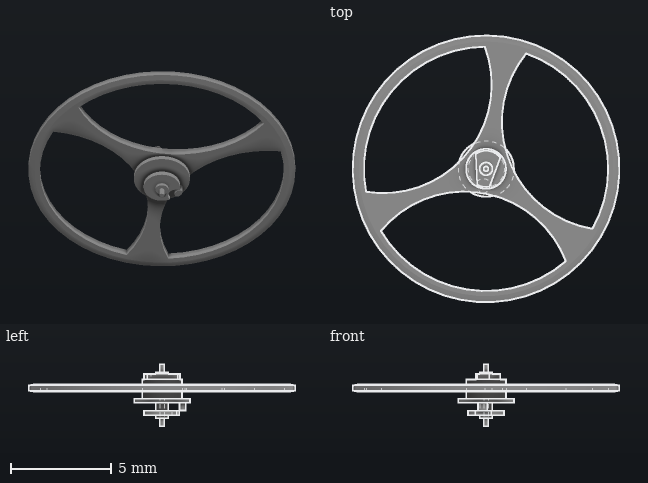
import cadquery as cq
import math

TURN = -9.3
STAFF_HALF_LENGTH = 1.553
PIVOT_LENGTH = 0.4
PIVOT_RADIUS = 0.12
COLLAR_RADIUS = 0.32
HUB_RADIUS = 1.0

COLLAR_TOP = STAFF_HALF_LENGTH - PIVOT_LENGTH
COLLAR_HEIGHT = 0.08
WEDGE_TOP = COLLAR_TOP - COLLAR_HEIGHT
HUB_TOP = 0.79
WHEEL_TOP = 0.55
WHEEL_THICKNESS = 0.37
HUB_BOTTOM = -0.17
TABLE_THICKNESS = 0.21
TABLE_BOTTOM = HUB_BOTTOM - TABLE_THICKNESS
SAFETY_TOP = -0.77
SAFETY_BOTTOM = -1.0
ROLLER_BOTTOM = -COLLAR_TOP

RIM_RADIUS = 6.66
RIM_INNER_RADIUS = 6.09
CHAMFER_WIDTH = 0.3
CHAMFER_HEIGHT = 0.05
WINDOW_COUNT = 3
WINDOW_ARC_RADIUS = 5.41
WINDOW_ARC_OFFSET = 6.64

WEDGE_RADIUS = 0.9
WEDGE_CORNER_ANGLES = (38, 124.5, 241, 281)

TABLE_RADIUS = 1.4
SAFETY_RADIUS = 0.9
NOTCH_RADIUS = 0.41
JEWEL_OFFSET = 1.04
JEWEL_HALF_WIDTH = 0.24
JEWEL_HALF_DEPTH = 0.16


def disc(radius, bottom, top):
    """Cylinder about the staff axis."""
    return cq.Workplane("XY").workplane(offset=bottom).circle(radius).extrude(top - bottom)


def turned(body):
    """Turn a body to the angle of the balance."""
    return body.rotate((0, 0, 0), (0, 0, 1), TURN)


def make_wheel():
    """Rim chamfered on both outer edges, with three arms left between round-sided windows."""
    bottom = WHEEL_TOP - WHEEL_THICKNESS
    rim_face = RIM_RADIUS - CHAMFER_WIDTH
    profile = [
        (HUB_RADIUS, bottom),
        (rim_face, bottom),
        (RIM_RADIUS, bottom + CHAMFER_HEIGHT),
        (RIM_RADIUS, WHEEL_TOP - CHAMFER_HEIGHT),
        (rim_face, WHEEL_TOP),
        (HUB_RADIUS, WHEEL_TOP),
    ]
    wheel = cq.Workplane("XZ").polyline(profile).close().revolve(360, (0, 0), (0, 1))
    window = disc(WINDOW_ARC_RADIUS, bottom, WHEEL_TOP).translate((0, -WINDOW_ARC_OFFSET, 0))
    window = window.intersect(disc(RIM_INNER_RADIUS, bottom, WHEEL_TOP))
    for i in range(WINDOW_COUNT):
        wheel = wheel.cut(window.rotate((0, 0, 0), (0, 0, 1), i * 360 / WINDOW_COUNT))
    return turned(wheel)


def wedge_point(angle):
    """Point at the given angle on the wedge circle."""
    a = math.radians(angle)
    return (WEDGE_RADIUS * math.cos(a), WEDGE_RADIUS * math.sin(a))


def make_wedge():
    """Two-sided tapered block with round ends."""
    right_top, left_top, left_bottom, right_bottom = map(wedge_point, WEDGE_CORNER_ANGLES)
    return (
        cq.Workplane("XY").workplane(offset=HUB_TOP)
        .moveTo(*right_top)
        .threePointArc(wedge_point(90), left_top)
        .lineTo(*left_bottom)
        .threePointArc(wedge_point(270), right_bottom)
        .close()
        .extrude(WEDGE_TOP - HUB_TOP)
    )


def make_staff():
    """Slender shaft with a pivot at each end, the wheel hub, the wedge and the top collar."""
    shaft = disc(PIVOT_RADIUS, -STAFF_HALF_LENGTH, STAFF_HALF_LENGTH)
    hub = disc(HUB_RADIUS, HUB_BOTTOM, HUB_TOP)
    collar = disc(COLLAR_RADIUS, HUB_TOP, COLLAR_TOP)
    return shaft.union(hub).union(make_wedge()).union(collar)


def make_roller():
    """Roller table and notched safety roller on one sleeve, bored for the shaft."""
    table = disc(TABLE_RADIUS, TABLE_BOTTOM, HUB_BOTTOM)
    safety = disc(SAFETY_RADIUS, SAFETY_BOTTOM, SAFETY_TOP)
    notch = disc(NOTCH_RADIUS, SAFETY_BOTTOM, SAFETY_TOP).translate((0, -SAFETY_RADIUS, 0))
    sleeve = disc(COLLAR_RADIUS, ROLLER_BOTTOM, HUB_BOTTOM)
    bore = disc(PIVOT_RADIUS, ROLLER_BOTTOM, HUB_BOTTOM)
    return turned(table.union(safety.cut(notch)).union(sleeve).cut(bore))


def make_jewel():
    """Oval impulse jewel under the roller table, level with the top of the safety roller."""
    jewel = (
        cq.Workplane("XY").workplane(offset=SAFETY_TOP)
        .center(0, -JEWEL_OFFSET)
        .ellipse(JEWEL_HALF_WIDTH, JEWEL_HALF_DEPTH)
        .extrude(TABLE_BOTTOM - SAFETY_TOP)
    )
    return turned(jewel)


wheel = make_wheel()
staff = make_staff()
roller = make_roller()
jewel = make_jewel()

result = cq.Compound.makeCompound([wheel.val(), staff.val(), roller.val(), jewel.val()])